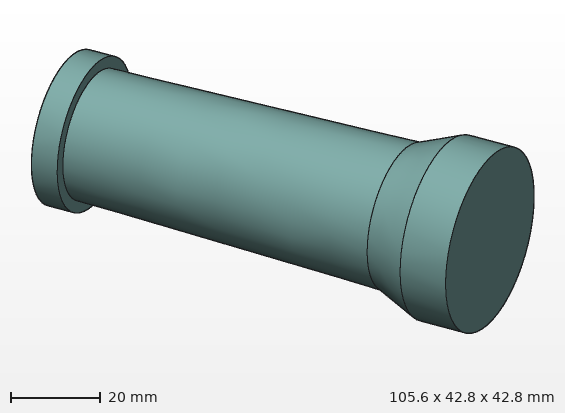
import cadquery as cq

total_length = 105.64
flange_length = 6.5
head_length = 11.4
cone_length = 10.5

flange_diameter = 36.0
body_small_diameter = 30.5
body_large_diameter = 34.2
head_diameter = 42.81

flange_end_x = flange_length
head_start_x = total_length - head_length
cone_start_x = head_start_x - cone_length


def build_handle():
    """Revolve the half profile: flange, tapered body, flared cone and head."""
    profile = [
        (0, 0),
        (0, flange_diameter / 2),
        (flange_end_x, flange_diameter / 2),
        (flange_end_x, body_small_diameter / 2),
        (cone_start_x, body_large_diameter / 2),
        (head_start_x, head_diameter / 2),
        (total_length, head_diameter / 2),
        (total_length, 0),
    ]
    half_profile = cq.Workplane("XZ").polyline(profile).close()
    return half_profile.revolve(360, (0, 0, 0), (1, 0, 0))


result = build_handle()